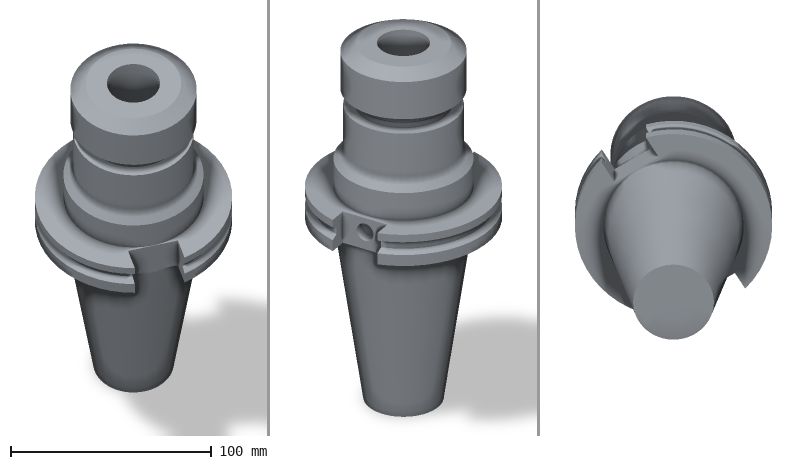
import cadquery as cq
import math

taper_tip_radius = 20.1
taper_height = 101.5
gauge_radius = 35.0

flange_radius = 49.2
flange_bottom = 103.2
flange_top = 121.1
groove_root_radius = 45.5
groove_lower_edge = 109.5
groove_lower_root = 111.2
groove_upper_root = 114.8
groove_upper_edge = 116.8

slot_width = 25.8
slot_floor_left = 37.5
slot_floor_right = 35.2
slot_hole_radius = 4.9
slot_hole_height = 113.0
slot_hole_depth = 5.0

collar_bevel_bottom = 137.0
body_radius = 30.0
body_fillet_radius = 5.0
body_top = 168.2

neck_radius = 24.4
neck_shoulder_radius = 24.8
neck_shoulder_bevel_bottom = 171.3
neck_shoulder_bevel_top = 172.1

nut_radius = 31.5
nut_bottom = 177.4
nut_bevel_bottom = 198.7
nut_face_radius = 23.8
nut_top = 203.2
bore_radius = 13.2
bore_depth = 40.6

bevel_angle = math.radians(45)
fillet_mid_angle = bevel_angle / 2
fillet_end_radius = body_radius + body_fillet_radius * (1 - math.cos(bevel_angle))
fillet_end_height = collar_bevel_bottom + (gauge_radius - fillet_end_radius) * math.tan(bevel_angle)
fillet_center_height = fillet_end_height + body_fillet_radius * math.sin(bevel_angle)
fillet_mid_point = (
    body_radius + body_fillet_radius * (1 - math.cos(fillet_mid_angle)),
    fillet_center_height - body_fillet_radius * math.sin(fillet_mid_angle),
)


def turned_body():
    """Revolve the half profile (radius, height) about the Z axis."""
    profile = (
        cq.Workplane("XZ")
        .moveTo(0, 0)
        .lineTo(taper_tip_radius, 0)
        .lineTo(gauge_radius, taper_height)
        .lineTo(gauge_radius, flange_bottom)
        .lineTo(flange_radius, flange_bottom)
        .lineTo(flange_radius, groove_lower_edge)
        .lineTo(groove_root_radius, groove_lower_root)
        .lineTo(groove_root_radius, groove_upper_root)
        .lineTo(flange_radius, groove_upper_edge)
        .lineTo(flange_radius, flange_top)
        .lineTo(gauge_radius, flange_top)
        .lineTo(gauge_radius, collar_bevel_bottom)
        .lineTo(fillet_end_radius, fillet_end_height)
        .threePointArc(fillet_mid_point, (body_radius, fillet_center_height))
        .lineTo(body_radius, body_top)
        .lineTo(neck_radius, body_top)
        .lineTo(neck_radius, neck_shoulder_bevel_bottom)
        .lineTo(neck_shoulder_radius, neck_shoulder_bevel_top)
        .lineTo(neck_shoulder_radius, nut_bottom)
        .lineTo(nut_radius, nut_bottom)
        .lineTo(nut_radius, nut_bevel_bottom)
        .lineTo(nut_face_radius, nut_top)
        .lineTo(0, nut_top)
        .close()
    )
    return profile.revolve(360, (0, 0, 0), (0, 1, 0))


def drive_slot(side, floor_distance):
    """Cutter for one drive slot; side is -1 for -X or +1 for +X."""
    slot_depth = flange_radius - floor_distance
    return (
        cq.Workplane("XY", origin=(0, 0, flange_bottom))
        .center(side * (floor_distance + slot_depth / 2), 0)
        .rect(slot_depth, slot_width)
        .extrude(flange_top - flange_bottom)
    )


def slot_hole():
    """Cutter for the blind round hole in the floor of the -X slot."""
    return (
        cq.Workplane("YZ", origin=(-slot_floor_left, 0, slot_hole_height))
        .circle(slot_hole_radius)
        .extrude(slot_hole_depth)
    )


def collet_bore():
    """Cutter for the blind bore in the top face of the nut."""
    return (
        cq.Workplane("XY", origin=(0, 0, nut_top))
        .circle(bore_radius)
        .extrude(-bore_depth)
    )


result = (
    turned_body()
    .cut(drive_slot(-1, slot_floor_left))
    .cut(drive_slot(1, slot_floor_right))
    .cut(slot_hole())
    .cut(collet_bore())
)